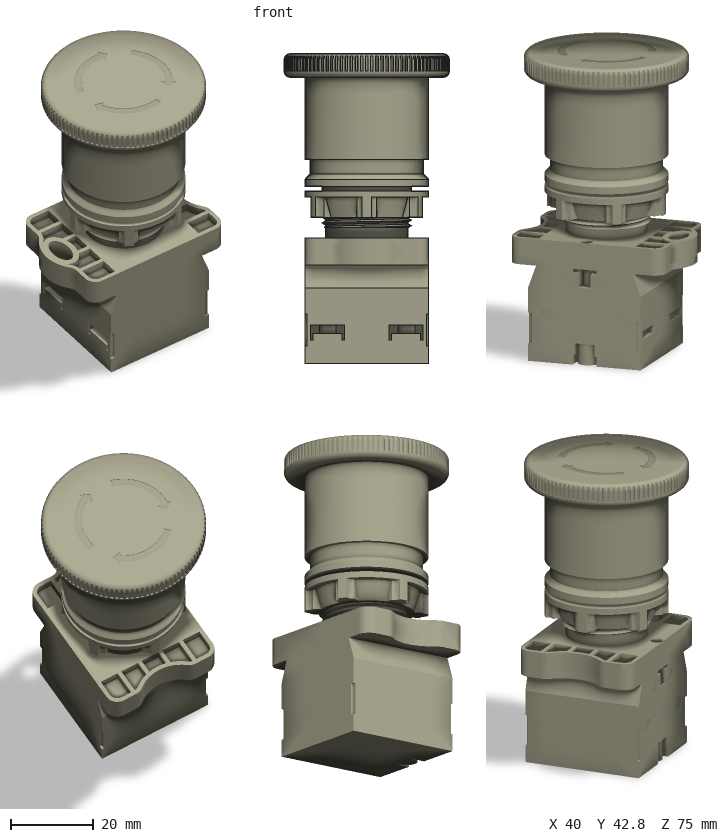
import cadquery as cq
import math


CLEARANCE = 0.75

TOTAL_HEIGHT = 75.0
KNOB_HEIGHT = 5.7
SLEEVE_LENGTH = 19.9
PLATE_BOTTOM = 23.85
PLATE_THICKNESS = 6.6
PLATE_TOP = PLATE_BOTTOM + PLATE_THICKNESS
KNOB_BOTTOM = TOTAL_HEIGHT - KNOB_HEIGHT
SLEEVE_BOTTOM = KNOB_BOTTOM - SLEEVE_LENGTH
CONE_TOP = 45.9
CONE_BOTTOM = 44.6
BEZEL_BOTTOM = 42.9
NUT_TOP = 41.8
NUT_RIM_BOTTOM = 40.3
NUT_BOTTOM = 35.4
THREAD_START = 32.0
THREAD_BOTTOM = 33.0

KNOB_RADIUS = 40.0 / 2
KNOB_ROUND = 1.5
KNURL_COUNT = 100
KNURL_WIDTH = 0.6
KNURL_DEPTH = 0.34
SLEEVE_RADIUS = 15.0
NECK_RADIUS = 13.7
BARREL_RADIUS = 10.8
THREAD_ROOT_RADIUS = 10.0
THREAD_PITCH = 1.35
THREAD_BASE_WIDTH = 1.2
ROOT_OVERLAP = 0.2

NUT_LUG_COUNT = 6
NUT_LUG_HALF_WIDTH = 1.1
NUT_LUG_ROOT = (13.35, 2.3)
NUT_FLANK_BULGE = 0.26
NUT_FLANK_INNER = (9.75, 2.55)
NUT_CONE_TOP_RADIUS = 13.05
NUT_CONE_BOTTOM_RADIUS = 11.6

ARROW_COUNT = 3
ARROW_INNER, ARROW_OUTER = 10.1, 11.9
ARROW_HEAD_INNER, ARROW_HEAD_OUTER = 9.0, 12.9
ARROW_TIP_RADIUS = 11.0
ARROW_START, ARROW_HEAD, ARROW_TIP = 135.0, 54.7, 45.3
ARROW_DEPTH = 0.15

PLATE_HALF_X = 15.0
PLATE_HALF_Y = 19.8
PLATE_CORNER = 3.0
TAB_REACH = 42.8 - KNOB_RADIUS
TAB_RADIUS = 10.0
TAB_BLEND = 3.0
PLATE_WALL = 1.05
POCKET_COUNT = 5
POCKET_INNER_Y = 12.4
POCKET_DEPTH = 2.25
TAB_HOLE_Y = -18.6
TAB_HOLE_RADII = (4.05, 2.25)
TAB_RING_RADII = (5.55, 3.7)
PLATE_HOLE_X = -13.35
PLATE_HOLE_RADIUS = 1.5

BLOCK_HALF_X = 15.0
BLOCK_CENTER_Y = 0.2
BLOCK_HALF_Y = 14.5
BLOCK_TOP_HALF_Y = 12.45
BLOCK_SHOULDER = 18.3
CORNER_NOTCH = (0.5, 1.05)
CORNER_NOTCH_BOTTOM, CORNER_NOTCH_TOP = 4.3, 12.0

WINDOW_CENTER_X = 9.5
WINDOW_WIDTH = 8.25
WINDOW_BOTTOM, WINDOW_TOP = 7.35, 9.4
WINDOW_DEPTH = 6.0
WINDOW_LEG_WIDTH = 0.64
WINDOW_LEG_BOTTOM = 5.8
CONTACT_OFFSET = 0.1
CONTACT_WIDTH = 4.05
CONTACT_DEPTH = 2.1
CONTACT_ROUND = 1.95

FLARE_WIDTH = 6.15
TEE_BAR_HEIGHT = 1.05
TEE_BAR_DEPTH = 1.5
TEE_BOTTOM = 19.3
TEE_POST_RADIUS = 1.6
TEE_POST_X = -11.25
BAY_HEIGHT = 5.3
BAY_FOOT_HEIGHT = 2.4
BAY_POST_RADIUS = 2.6
BAY_POST_X = -12.0

RIVET_RADIUS = 1.6
RIVET_DEPTH = 0.1
RIVETS = ((4.1, 20.6), (9.5, 11.9))


def box(x_min, x_max, y_min, y_max, z_min, z_max):
    corner = cq.Workplane("XY", origin=(x_min, y_min, z_min))
    return corner.box(x_max - x_min, y_max - y_min, z_max - z_min, centered=False)


def cylinder(radius, z_min, z_max, x=0.0, y=0.0):
    return cq.Workplane("XY", origin=(x, y, z_min)).circle(radius).extrude(z_max - z_min)


def polar(radius, degrees):
    angle = math.radians(degrees)
    return (radius * math.cos(angle), radius * math.sin(angle))


def make_knurl_cutter():
    groove = box(
        KNOB_RADIUS - KNURL_DEPTH, KNOB_RADIUS + CLEARANCE,
        -KNURL_WIDTH / 2, KNURL_WIDTH / 2,
        KNOB_BOTTOM + KNOB_ROUND, TOTAL_HEIGHT + CLEARANCE,
    ).val()
    axis_start = cq.Vector(0, 0, 0)
    axis_end = cq.Vector(0, 0, 1)
    step = 360.0 / KNURL_COUNT
    grooves = [groove.rotate(axis_start, axis_end, i * step) for i in range(KNURL_COUNT)]
    return cq.Workplane(cq.Compound.makeCompound(grooves))


def make_arrow_cutter():
    middle = (ARROW_START + ARROW_HEAD) / 2
    arrow = (
        cq.Workplane("XY", origin=(0, 0, TOTAL_HEIGHT - ARROW_DEPTH))
        .moveTo(*polar(ARROW_OUTER, ARROW_START))
        .threePointArc(polar(ARROW_OUTER, middle), polar(ARROW_OUTER, ARROW_HEAD))
        .lineTo(*polar(ARROW_HEAD_OUTER, ARROW_HEAD))
        .lineTo(*polar(ARROW_TIP_RADIUS, ARROW_TIP))
        .lineTo(*polar(ARROW_HEAD_INNER, ARROW_HEAD))
        .lineTo(*polar(ARROW_INNER, ARROW_HEAD))
        .threePointArc(polar(ARROW_INNER, middle), polar(ARROW_INNER, ARROW_START))
        .close()
        .extrude(2 * ARROW_DEPTH)
    )
    arrows = arrow
    for i in range(1, ARROW_COUNT):
        arrows = arrows.union(arrow.rotate((0, 0, 0), (0, 0, 1), i * 360.0 / ARROW_COUNT))
    return arrows


def make_knob():
    knob = cylinder(KNOB_RADIUS, KNOB_BOTTOM, TOTAL_HEIGHT).edges().fillet(KNOB_ROUND)
    return knob.cut(make_knurl_cutter()).cut(make_arrow_cutter())


def make_body():
    profile = (
        (0, PLATE_BOTTOM),
        (THREAD_ROOT_RADIUS, PLATE_BOTTOM),
        (THREAD_ROOT_RADIUS, NUT_RIM_BOTTOM),
        (BARREL_RADIUS, NUT_RIM_BOTTOM),
        (BARREL_RADIUS, BEZEL_BOTTOM),
        (SLEEVE_RADIUS, BEZEL_BOTTOM),
        (SLEEVE_RADIUS, CONE_BOTTOM),
        (NECK_RADIUS, CONE_TOP),
        (NECK_RADIUS, SLEEVE_BOTTOM),
        (SLEEVE_RADIUS, SLEEVE_BOTTOM),
        (SLEEVE_RADIUS, KNOB_BOTTOM),
        (0, KNOB_BOTTOM),
    )
    return cq.Workplane("XZ").polyline(profile).close().revolve(360, (0, 0), (0, 1))


def make_thread():
    """Right-hand triangular thread, cut off flat at its lower end, that runs up into the nut."""
    height = NUT_BOTTOM + THREAD_PITCH - THREAD_START
    helix = cq.Wire.makeHelix(THREAD_PITCH, height, THREAD_ROOT_RADIUS)
    path = cq.Workplane(helix.translate(cq.Vector(0, 0, THREAD_START)))
    half_base = THREAD_BASE_WIDTH / 2
    tooth = (
        (THREAD_ROOT_RADIUS - ROOT_OVERLAP, THREAD_START - half_base),
        (BARREL_RADIUS, THREAD_START),
        (THREAD_ROOT_RADIUS - ROOT_OVERLAP, THREAD_START + half_base),
    )
    thread = cq.Workplane("XZ").polyline(tooth).close().sweep(path, isFrenet=True)
    return thread.cut(cylinder(SLEEVE_RADIUS, PLATE_TOP, THREAD_BOTTOM))


def make_nut_lug():
    """One radial lug along +X with hollow flanks that widen towards the cone."""
    tip_x = math.sqrt(SLEEVE_RADIUS**2 - NUT_LUG_HALF_WIDTH**2)
    root_x, root_y = NUT_LUG_ROOT
    inner_x, inner_y = NUT_FLANK_INNER
    hollow_x = (tip_x + root_x) / 2 - NUT_FLANK_BULGE
    hollow_y = (NUT_LUG_HALF_WIDTH + root_y) / 2 - NUT_FLANK_BULGE
    return (
        cq.Workplane("XY", origin=(0, 0, NUT_BOTTOM))
        .moveTo(inner_x, -inner_y)
        .lineTo(root_x, -root_y)
        .threePointArc((hollow_x, -hollow_y), (tip_x, -NUT_LUG_HALF_WIDTH))
        .threePointArc((SLEEVE_RADIUS, 0), (tip_x, NUT_LUG_HALF_WIDTH))
        .threePointArc((hollow_x, hollow_y), (root_x, root_y))
        .lineTo(inner_x, inner_y)
        .close()
        .extrude(NUT_RIM_BOTTOM - NUT_BOTTOM)
    )


def make_nut():
    skirt_profile = (
        (0, NUT_BOTTOM),
        (NUT_CONE_BOTTOM_RADIUS, NUT_BOTTOM),
        (NUT_CONE_TOP_RADIUS, NUT_RIM_BOTTOM),
        (0, NUT_RIM_BOTTOM),
    )
    skirt = cq.Workplane("XZ").polyline(skirt_profile).close().revolve(360, (0, 0), (0, 1))
    step = 360.0 / NUT_LUG_COUNT
    for i in range(NUT_LUG_COUNT):
        skirt = skirt.union(make_nut_lug().rotate((0, 0, 0), (0, 0, 1), (i + 0.5) * step))
    return skirt.union(cylinder(SLEEVE_RADIUS, NUT_RIM_BOTTOM, NUT_TOP))


def plate_outline(inset, z_min, z_max):
    """Plate with a tab on -Y and a matching bay on +Y, drawn in by an inset."""
    tab_center_y = -TAB_REACH + TAB_RADIUS
    blend_center_y = -PLATE_HALF_Y - TAB_BLEND
    center_rise = tab_center_y - blend_center_y
    blend_x = math.sqrt((TAB_RADIUS + TAB_BLEND) ** 2 - center_rise**2)
    lean_x = blend_x / (TAB_RADIUS + TAB_BLEND)
    lean_y = center_rise / (TAB_RADIUS + TAB_BLEND)

    def half_edge_points(tab_radius, blend_radius, shift):
        """Blend start, blend middle, joint with the tab arc and tab tip, on the +X half."""
        joint = (tab_radius * lean_x, tab_center_y + shift - tab_radius * lean_y)
        half_angle = math.acos(lean_y) / 2
        blend_mid = (
            blend_x - blend_radius * math.sin(half_angle),
            blend_center_y + shift + blend_radius * math.cos(half_angle),
        )
        blend_start = (blend_x, blend_center_y + shift + blend_radius)
        tip = (0, tab_center_y + shift - tab_radius)
        return blend_start, blend_mid, joint, tip

    def mirror(point):
        return (-point[0], point[1])

    nest_shift = 2 * PLATE_HALF_Y
    start, mid, joint, tip = half_edge_points(TAB_RADIUS - inset, TAB_BLEND + inset, 0)
    bay_start, bay_mid, bay_joint, bay_tip = half_edge_points(
        TAB_RADIUS + inset, TAB_BLEND - inset, nest_shift
    )
    half_x = PLATE_HALF_X - inset
    half_y = PLATE_HALF_Y - inset
    outline = (
        cq.Workplane("XY", origin=(0, 0, z_min))
        .moveTo(-half_x, -half_y)
        .lineTo(*mirror(start))
        .threePointArc(mirror(mid), mirror(joint))
        .threePointArc(tip, joint)
        .threePointArc(mid, start)
        .lineTo(half_x, -half_y)
        .lineTo(half_x, half_y)
        .lineTo(*bay_start)
        .threePointArc(bay_mid, bay_joint)
        .threePointArc(bay_tip, mirror(bay_joint))
        .threePointArc(mirror(bay_mid), mirror(bay_start))
        .lineTo(-half_x, half_y)
        .close()
        .extrude(z_max - z_min)
    )
    for x in (-half_x, half_x):
        for y in (-half_y, half_y):
            corner = cq.selectors.NearestToPointSelector((x, y, (z_min + z_max) / 2))
            outline = outline.edges("|Z").edges(corner).fillet(PLATE_CORNER - inset)
    return outline


def tab_ellipse(radii, z_min, z_max):
    """Elliptical column at the middle of the tab."""
    return cq.Workplane("XY", origin=(0, TAB_HOLE_Y, z_min)).ellipse(*radii).extrude(z_max - z_min)


def make_plate_pockets():
    floor = PLATE_TOP - POCKET_DEPTH
    roof = PLATE_TOP + CLEARANCE
    interior = plate_outline(PLATE_WALL, floor, roof).cut(tab_ellipse(TAB_RING_RADII, floor, roof))
    pitch = (2 * PLATE_HALF_X - PLATE_WALL) / POCKET_COUNT
    pockets = None
    for i in range(POCKET_COUNT):
        x_min = -PLATE_HALF_X + PLATE_WALL + i * pitch
        x_max = x_min + pitch - PLATE_WALL
        for y_min, y_max in ((-TAB_REACH, -POCKET_INNER_Y), (POCKET_INNER_Y, TAB_REACH)):
            cell = box(x_min, x_max, y_min, y_max, floor, roof).intersect(interior)
            pockets = cell if pockets is None else pockets.union(cell)
    return pockets


def make_plate():
    plate = plate_outline(0, PLATE_BOTTOM, PLATE_TOP)
    plate = plate.cut(make_plate_pockets())
    plate = plate.cut(tab_ellipse(TAB_HOLE_RADII, PLATE_BOTTOM - CLEARANCE, PLATE_TOP + CLEARANCE))
    return plate.cut(cylinder(PLATE_HOLE_RADIUS, PLATE_BOTTOM, PLATE_TOP, PLATE_HOLE_X, BLOCK_CENTER_Y))


def make_block_shape():
    profile = (
        (BLOCK_CENTER_Y - BLOCK_HALF_Y, 0),
        (BLOCK_CENTER_Y + BLOCK_HALF_Y, 0),
        (BLOCK_CENTER_Y + BLOCK_HALF_Y, BLOCK_SHOULDER),
        (BLOCK_CENTER_Y + BLOCK_TOP_HALF_Y, PLATE_BOTTOM),
        (BLOCK_CENTER_Y - BLOCK_TOP_HALF_Y, PLATE_BOTTOM),
        (BLOCK_CENTER_Y - BLOCK_HALF_Y, BLOCK_SHOULDER),
    )
    return cq.Workplane("YZ").polyline(profile).close().extrude(BLOCK_HALF_X, both=True)


def cut_corner_notches(block):
    size_x, size_y = CORNER_NOTCH
    for x in (-BLOCK_HALF_X, BLOCK_HALF_X):
        for y in (BLOCK_CENTER_Y - BLOCK_HALF_Y, BLOCK_CENTER_Y + BLOCK_HALF_Y):
            notch = box(x - size_x, x + size_x, y - size_y, y + size_y, CORNER_NOTCH_BOTTOM, CORNER_NOTCH_TOP)
            block = block.cut(notch)
    return block


def cut_terminal_window(block, center_x):
    """Wire opening on the -Y face with two narrow legs and a contact at its back."""
    face_y = BLOCK_CENTER_Y - BLOCK_HALF_Y
    back_y = face_y + WINDOW_DEPTH
    x_min = center_x - WINDOW_WIDTH / 2
    x_max = center_x + WINDOW_WIDTH / 2
    block = block.cut(box(x_min, x_max, face_y, back_y, WINDOW_BOTTOM, WINDOW_TOP))
    for leg_x in (x_min, x_max - WINDOW_LEG_WIDTH):
        leg = box(leg_x, leg_x + WINDOW_LEG_WIDTH, face_y, back_y, WINDOW_LEG_BOTTOM, WINDOW_BOTTOM)
        block = block.cut(leg)
    contact_x = center_x + CONTACT_OFFSET
    contact = box(
        contact_x - CONTACT_WIDTH / 2, contact_x + CONTACT_WIDTH / 2,
        back_y - CONTACT_DEPTH, back_y, WINDOW_BOTTOM, WINDOW_TOP,
    )
    return block.union(contact.edges("|Z and <X and <Y").fillet(CONTACT_ROUND))


def cut_side_recess(block, half_width, z_min, z_max, post_x):
    """Recess into the -X face, closed at its back by a round upright post."""
    y_min = BLOCK_CENTER_Y - half_width
    y_max = BLOCK_CENTER_Y + half_width
    recess = box(-BLOCK_HALF_X, post_x, y_min, y_max, z_min, z_max)
    post = cylinder(half_width, z_min, z_max, post_x, BLOCK_CENTER_Y)
    return block.cut(recess.cut(post))


def cut_tee(block):
    half_bar = FLARE_WIDTH / 2
    bar = box(
        -BLOCK_HALF_X, -BLOCK_HALF_X + TEE_BAR_DEPTH,
        BLOCK_CENTER_Y - half_bar, BLOCK_CENTER_Y + half_bar,
        PLATE_BOTTOM - TEE_BAR_HEIGHT, PLATE_BOTTOM,
    )
    return cut_side_recess(block.cut(bar), TEE_POST_RADIUS, TEE_BOTTOM, PLATE_BOTTOM, TEE_POST_X)


def cut_bay(block):
    half_foot = FLARE_WIDTH / 2
    foot = box(
        -BLOCK_HALF_X, BAY_POST_X,
        BLOCK_CENTER_Y - half_foot, BLOCK_CENTER_Y + half_foot,
        0, BAY_FOOT_HEIGHT,
    )
    foot = foot.cut(cylinder(BAY_POST_RADIUS, 0, BAY_FOOT_HEIGHT, BAY_POST_X, BLOCK_CENTER_Y))
    return cut_side_recess(block.cut(foot), BAY_POST_RADIUS, 0, BAY_HEIGHT, BAY_POST_X)


def cut_rivet_marks(block):
    for offset, height in RIVETS:
        for y in (BLOCK_CENTER_Y - offset, BLOCK_CENTER_Y + offset):
            center = cq.Workplane("YZ", origin=(-BLOCK_HALF_X, y, height))
            block = block.cut(center.circle(RIVET_RADIUS).extrude(RIVET_DEPTH))
    return block


def make_block():
    block = cut_corner_notches(make_block_shape())
    for center_x in (-WINDOW_CENTER_X, WINDOW_CENTER_X):
        block = cut_terminal_window(block, center_x)
    return cut_rivet_marks(cut_bay(cut_tee(block)))


result = make_body().union(make_thread())
for component in (make_plate().union(make_block()), make_nut(), make_knob()):
    result = result.union(component)